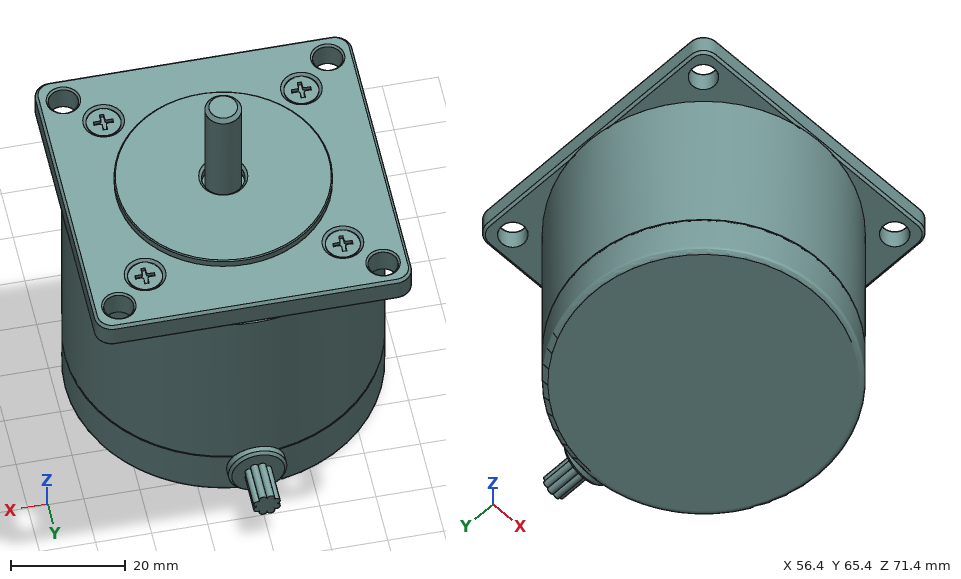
import cadquery as cq
import math

flange_width = 56.4
total_height = 71.4
flange_top = 50.75
flange_thickness = 5.0
flange_corner_radius = 3.1
edge_chamfer = 0.5
flange_bottom = flange_top - flange_thickness

body_radius = flange_width / 2
cap_height = 9.1
cap_fillet = 1.0
can_chamfer = 0.2

boss_radius = 19.05
boss_height = 1.5
boss_chamfer = 0.2
boss_top = flange_top + boss_height
bore_radius = 3.8
bore_depth = 2.0
bore_chamfer = 0.5

shaft_radius = 3.2
shaft_chamfer = 0.7

mount_spacing = 47.1
mount_radius = 2.65
mount_chamfer = 0.35

screw_spacing = 35.25
recess_radius = 3.65
screw_head_radius = 3.1
recess_depth = recess_radius - screw_head_radius
screw_head_drop = 0.35
cross_length = 3.4
cross_width = 0.7
cross_depth = 0.7
cross_fillet = 0.35

grommet_radius = 5.2
grommet_z = 6.0
grommet_end = 29.7
grommet_depth = 4.3
grommet_start = body_radius - grommet_depth
grommet_chamfer = 0.5
wire_count = 8
wire_radius = 0.7
wire_ring_radius = 1.8
core_radius = 1.65
wire_end = 37.2


def plane_at_height(z):
    return cq.Workplane("XY", origin=(0, 0, z))


def cable_plane(y):
    """Upright plane on the cable axis, facing +Y."""
    return cq.Workplane(cq.Plane((0, y, grommet_z), (1, 0, 0), (0, 1, 0)))


def square_points(spacing):
    half = spacing / 2
    return [(x, y) for x in (-half, half) for y in (-half, half)]


def make_can():
    """Can with a small chamfer where it meets the end cap."""
    can = plane_at_height(cap_height).circle(body_radius).extrude(flange_bottom - cap_height)
    can = can.faces("<Z").chamfer(can_chamfer)
    cap = plane_at_height(0).circle(body_radius).extrude(cap_height)
    return can.union(cap.faces("<Z").edges().fillet(cap_fillet))


def make_flange():
    plate = (
        plane_at_height(flange_bottom)
        .rect(flange_width, flange_width)
        .extrude(flange_thickness)
        .edges("|Z").fillet(flange_corner_radius)
        .faces("<Z or >Z").chamfer(edge_chamfer)
    )
    boss = plane_at_height(flange_top).circle(boss_radius).extrude(boss_height)
    return plate.union(boss.faces(">Z").chamfer(boss_chamfer))


def make_cone(bottom_radius, top_radius, top_z, height):
    cone = plane_at_height(top_z - height).circle(bottom_radius)
    return cone.workplane(offset=height).circle(top_radius).loft()


def make_chamfered_hole(radius, top_z, depth, chamfer):
    hole = plane_at_height(top_z - depth).circle(radius).extrude(depth)
    return hole.union(make_cone(radius, radius + chamfer, top_z, chamfer))


def make_screw_recess():
    """Conical recess around a slightly raised screw head that has a cross drive."""
    floor_z = flange_top - recess_depth
    head_z = flange_top - screw_head_drop
    cone = make_cone(screw_head_radius, recess_radius, flange_top, recess_depth)
    head = plane_at_height(floor_z).circle(screw_head_radius).extrude(head_z - floor_z)
    drive_plane = plane_at_height(head_z - cross_depth)
    drive = drive_plane.rect(cross_length, cross_width).extrude(cross_depth)
    drive = drive.union(drive_plane.rect(cross_width, cross_length).extrude(cross_depth))
    inner_corners = cq.selectors.BoxSelector(
        (-cross_width, -cross_width, 0),
        (cross_width, cross_width, flange_top),
    )
    drive = drive.edges("|Z").edges(inner_corners).fillet(cross_fillet)
    return cone.cut(head).union(drive)


def make_shaft():
    bottom = boss_top - bore_depth
    shaft = plane_at_height(bottom).circle(shaft_radius).extrude(total_height - bottom)
    return shaft.faces(">Z").chamfer(shaft_chamfer)


def make_cable():
    """Grommet with a ring of wires around a solid core."""
    grommet = cable_plane(grommet_start).circle(grommet_radius).extrude(grommet_end - grommet_start)
    cable = grommet.faces(">Y").chamfer(grommet_chamfer)
    wire_length = wire_end - grommet_end
    cable = cable.union(cable_plane(grommet_end).circle(core_radius).extrude(wire_length))
    for i in range(wire_count):
        angle = math.radians(360 / wire_count * (i + 0.5))
        x = wire_ring_radius * math.cos(angle)
        z = wire_ring_radius * math.sin(angle)
        wire = cable_plane(grommet_end).center(x, z).circle(wire_radius).extrude(wire_length)
        cable = cable.union(wire)
    return cable


flange = make_flange()
mount_hole = make_chamfered_hole(mount_radius, flange_top, flange_thickness, mount_chamfer)
for x, y in square_points(mount_spacing):
    flange = flange.cut(mount_hole.translate((x, y, 0)))
screw_recess = make_screw_recess()
for x, y in square_points(screw_spacing):
    flange = flange.cut(screw_recess.translate((x, y, 0)))
flange = flange.cut(make_chamfered_hole(bore_radius, boss_top, bore_depth, bore_chamfer))

result = make_can().union(flange).union(make_shaft()).union(make_cable())